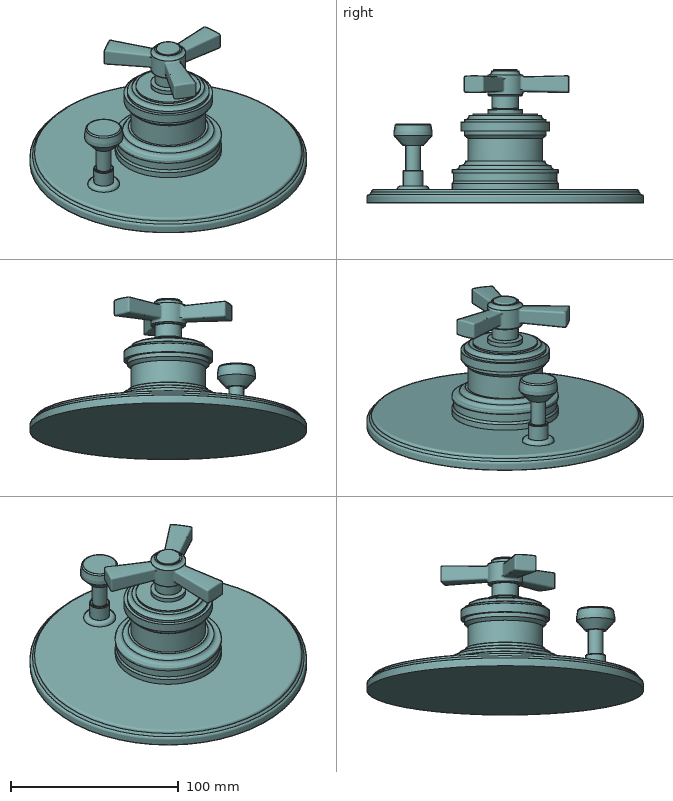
import cadquery as cq
import math

SIN_45 = math.sqrt(0.5)

plate_radius = 82.5
plate_side_height = 3.5
plate_height = 8.1
plate_face_radius = 78.3

base_radius = 31.7
base_waist_radius = 30.9
cove_radius = 2.5
lower_step_radius = 27.2
upper_step_radius = 23.8
barrel_radius = 22.3
collar_radius = 24.5
band_radius = 26.4
cap_radius = 21.6
cap_disc_radius = 19.3
base_side_top = 11.5
waist_bottom = 13.0
rim_bottom = 18.0
rim_top = 20.0
rim_edge_round = 0.5
barrel_top = 38.5
collar_bottom = 40.5
band_bottom = 43.0
band_top = 48.2
collar_top = 49.7
cap_top = collar_top + cove_radius
cap_disc_top = 53.2

washer_radius = 10.4
washer_top = 55.6
neck_radius = 5.0
stem_bottom = 56.5
stem_radius = 8.0
hub_radius = 10.4
hub_bottom = 63.9
hub_bottom_bevel = 0.7
hub_side_top = 76.3
hub_cove_radius = 2.3
button_radius = 7.1
button_top = 79.5
button_round = 0.5

arm_count = 3
arm_tip = 38.0
arm_root = 8.3
arm_tip_width = 13.7
arm_root_width = 9.0
arm_mid_height = 70.8
arm_tip_height = 10.2
arm_root_height = 8.8
arm_crown = 0.3
arm_edge_round = 1.0
arm_root_fillet = 1.2

knob_y = -55.0
foot_radius = 9.5
foot_top = 10.2
foot_round = 2.5
sleeve_radius = 6.0
sleeve_top = 19.5
sleeve_bevel = 0.5
knob_stem_radius = 4.5
knob_bottom = 34.3
knob_bottom_radius = 6.1
knob_radius = 11.4
knob_cone_top = 40.1
knob_side_top = 42.6
knob_shoulder_radius = 10.7
knob_shoulder = 46.4
knob_top = 47.2
knob_face_radius = 9.9


def revolve(profile):
    """Turn a closed half-section (radius, height) about the Z axis."""
    return profile.close().revolve(360, (0, 0, 0), (0, 1, 0))


def cove(profile, inner_radius, bottom, radius):
    """Concave quarter round, from its low outer end to its high inner end."""
    mid = (inner_radius + radius * (1 - SIN_45), bottom + radius * (1 - SIN_45))
    return profile.threePointArc(mid, (inner_radius, bottom + radius))


def round_over(profile, outer_radius, top, radius):
    """Convex quarter round, from its low outer end to its high inner end."""
    mid = (outer_radius - radius * (1 - SIN_45), top - radius * (1 - SIN_45))
    return profile.threePointArc(mid, (outer_radius - radius, top))


def make_plate():
    edge_step = (plate_height - plate_side_height) / 3
    profile = cq.Workplane("XZ").lineTo(plate_radius, 0).lineTo(plate_radius, plate_side_height)
    profile = round_over(profile, plate_radius, plate_side_height + edge_step, edge_step)
    profile = profile.lineTo(plate_face_radius + edge_step, plate_height - edge_step)
    profile = round_over(profile, plate_face_radius + edge_step, plate_height, edge_step)
    return revolve(profile.lineTo(0, plate_height))


def make_body():
    profile = (
        cq.Workplane("XZ")
        .lineTo(base_radius, 0)
        .lineTo(base_radius, base_side_top)
        .lineTo(base_waist_radius, waist_bottom)
        .lineTo(base_waist_radius, rim_bottom)
        .lineTo(base_radius, rim_bottom)
        .lineTo(base_radius, rim_top - rim_edge_round)
    )
    profile = round_over(profile, base_radius, rim_top, rim_edge_round)
    profile = profile.lineTo(lower_step_radius + cove_radius, rim_top)
    profile = cove(profile, lower_step_radius, rim_top, cove_radius)
    lower_step_top = rim_top + cove_radius
    profile = profile.lineTo(upper_step_radius + cove_radius, lower_step_top)
    profile = cove(profile, upper_step_radius, lower_step_top, cove_radius)
    profile = (
        profile.lineTo(barrel_radius, lower_step_top + cove_radius)
        .lineTo(barrel_radius, barrel_top)
        .lineTo(collar_radius, collar_bottom)
        .lineTo(collar_radius, band_bottom)
        .lineTo(band_radius, band_bottom)
        .lineTo(band_radius, band_top)
        .lineTo(collar_radius, band_top)
        .lineTo(collar_radius, collar_top)
        .lineTo(cap_radius + cove_radius, collar_top)
    )
    profile = cove(profile, cap_radius, collar_top, cove_radius)
    profile = profile.lineTo(cap_disc_radius, cap_top).lineTo(cap_disc_radius, cap_disc_top)
    return revolve(profile.lineTo(0, cap_disc_top))


def make_stem():
    profile = (
        cq.Workplane("XZ")
        .moveTo(0, cap_top)
        .lineTo(washer_radius, cap_top)
        .lineTo(washer_radius, washer_top)
        .lineTo(neck_radius, washer_top)
        .lineTo(neck_radius, stem_bottom)
        .lineTo(stem_radius, stem_bottom)
        .lineTo(stem_radius, hub_side_top)
        .lineTo(0, hub_side_top)
    )
    return revolve(profile)


def make_hub():
    profile = (
        cq.Workplane("XZ")
        .moveTo(0, hub_bottom)
        .lineTo(hub_radius - hub_bottom_bevel, hub_bottom)
        .lineTo(hub_radius, hub_bottom + hub_bottom_bevel)
        .lineTo(hub_radius, hub_side_top)
    )
    profile = cove(profile, hub_radius - hub_cove_radius, hub_side_top, hub_cove_radius)
    profile = profile.lineTo(button_radius, hub_side_top + hub_cove_radius)
    profile = profile.lineTo(button_radius, button_top - button_round)
    profile = round_over(profile, button_radius, button_top, button_round)
    return revolve(profile.lineTo(0, button_top))


def arm_section(profile, width, height):
    """Cross-section with straight sides and slightly crowned top and bottom."""
    half_width = width / 2
    half_side = height / 2 - arm_crown
    return (
        profile.moveTo(-half_width, -half_side)
        .threePointArc((0, -height / 2), (half_width, -half_side))
        .lineTo(half_width, half_side)
        .threePointArc((0, height / 2), (-half_width, half_side))
        .close()
    )


def make_arm():
    """One arm along +Y, growing wider and taller towards its tip."""
    start = cq.Workplane("XZ", origin=(0, arm_root, arm_mid_height))
    root = arm_section(start, arm_root_width, arm_root_height)
    tip = arm_section(root.workplane(offset=arm_root - arm_tip), arm_tip_width, arm_tip_height)
    return tip.loft(ruled=True).edges("not <Y").fillet(arm_edge_round)


def make_handle():
    """Hub and arms, with the hub filleted into each arm root."""
    handle = make_hub()
    for index in range(arm_count):
        arm = make_arm().rotate((0, 0, 0), (0, 0, 1), index * 360 / arm_count)
        handle = handle.union(arm)
    roots = cq.selectors.BoxSelector(
        (-hub_radius, -hub_radius, hub_bottom + 2 * hub_bottom_bevel),
        (hub_radius, hub_radius, hub_side_top - hub_bottom_bevel),
    )
    seams = handle.edges(roots).edges("not |Z")
    return handle.newObject(seams.vals()).fillet(arm_root_fillet)


def make_knob():
    profile = cq.Workplane("XZ").lineTo(foot_radius, 0).lineTo(foot_radius, foot_top - foot_round)
    profile = round_over(profile, foot_radius, foot_top, foot_round)
    profile = (
        profile.lineTo(sleeve_radius, foot_top)
        .lineTo(sleeve_radius, sleeve_top - sleeve_bevel)
        .lineTo(sleeve_radius - sleeve_bevel, sleeve_top)
        .lineTo(knob_stem_radius, sleeve_top)
        .lineTo(knob_stem_radius, knob_bottom)
        .lineTo(knob_bottom_radius, knob_bottom)
        .lineTo(knob_radius, knob_cone_top)
        .lineTo(knob_radius, knob_side_top)
        .lineTo(knob_shoulder_radius, knob_shoulder)
        .lineTo(knob_face_radius, knob_top)
        .lineTo(0, knob_top)
    )
    return revolve(profile).translate((0, knob_y, 0))


result = make_plate().union(make_body()).union(make_stem()).union(make_handle()).union(make_knob())